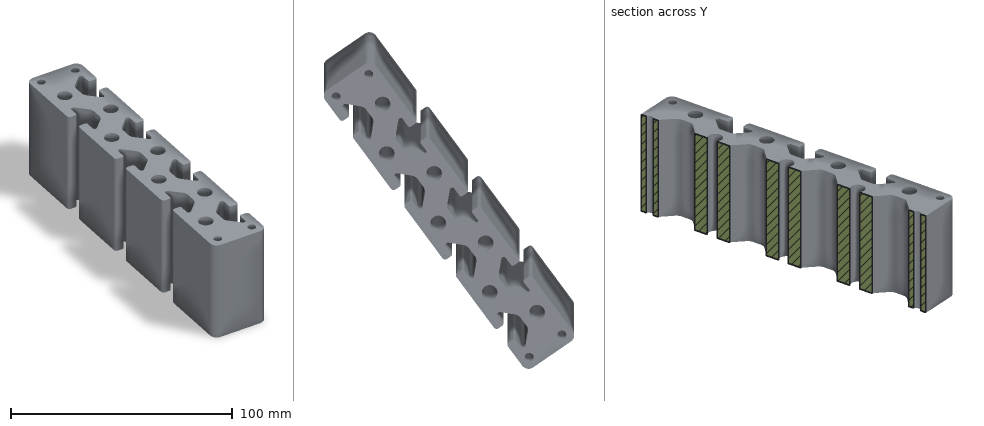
import cadquery as cq

length = 160.0
depth = 28.0
height = 50.0
corner_radius = 3.5

back_slots = 4
front_slots = back_slots - 1
slot_pitch = length / back_slots
slot_depth = 12.5
mouth_width = 8.0
mouth_radius = 1.5
lip_thickness = 4.6
lip_radius = 1.0
cavity_width = 20.2
cavity_wall = 1.6
cavity_radius = 1.0
floor_radius = 4.0

core_hole_diameter = 7.0
core_hole_inset = 8.0
corner_hole_diameter = 4.0
corner_hole_inset = 5.0

face_y = depth / 2
end_x = length / 2
half_mouth = mouth_width / 2


def row(count):
    """X positions of a row of features centred on the bar."""
    return [(i - (count - 1) / 2) * slot_pitch for i in range(count)]


def mirrored_pair(x, y):
    """The point (x, y) and its mirror image across the YZ plane."""
    return [(-x, y), (x, y)]


def round_corners(body, corners, radius):
    """Fillet the vertical edge standing at each (x, y) corner."""
    for x, y in corners:
        nearest = cq.selectors.NearestToPointSelector((x, y, height / 2))
        body = body.edges("|Z").edges(nearest).fillet(radius)
    return body


def make_slot():
    """Solid filling one T-slot of the +Y face, centred on X = 0."""
    lip_y = face_y - lip_thickness
    shoulder_y = lip_y - cavity_wall
    floor_y = face_y - slot_depth
    half_cavity = cavity_width / 2
    half_floor = half_cavity - (shoulder_y - floor_y)

    right_side = [
        (half_floor, floor_y),
        (half_cavity, shoulder_y),
        (half_cavity, lip_y),
        (half_mouth, lip_y),
        (half_mouth, face_y),
    ]
    left_side = [(-x, y) for x, y in reversed(right_side)]
    slot = cq.Workplane("XY").polyline(right_side + left_side).close().extrude(height)

    slot = round_corners(slot, mirrored_pair(half_mouth, lip_y), lip_radius)
    slot = round_corners(slot, mirrored_pair(half_cavity, lip_y), cavity_radius)
    slot = round_corners(slot, mirrored_pair(half_cavity, shoulder_y), cavity_radius)
    return round_corners(slot, mirrored_pair(half_floor, floor_y), floor_radius)


def make_holes(centres, diameter):
    """Cylinders for holes through the full height."""
    return cq.Workplane("XY").pushPoints(centres).circle(diameter / 2).extrude(height)


bar = cq.Workplane("XY").rect(length, depth).extrude(height)
bar = bar.edges("|Z").fillet(corner_radius)

back_slot = make_slot()
front_slot = back_slot.mirror("XZ")
for slot, count, mouth_y in [(back_slot, back_slots, face_y), (front_slot, front_slots, -face_y)]:
    for slot_x in row(count):
        bar = bar.cut(slot.translate((slot_x, 0, 0)))
        mouth_corners = [(slot_x - half_mouth, mouth_y), (slot_x + half_mouth, mouth_y)]
        bar = round_corners(bar, mouth_corners, mouth_radius)

core_y = face_y - core_hole_inset
core_centres = [(x, -core_y) for x in row(back_slots)] + [(x, core_y) for x in row(front_slots)]
bar = bar.cut(make_holes(core_centres, core_hole_diameter))

corner_x = end_x - corner_hole_inset
corner_y = face_y - corner_hole_inset
corner_centres = mirrored_pair(corner_x, corner_y) + mirrored_pair(corner_x, -corner_y)
result = bar.cut(make_holes(corner_centres, corner_hole_diameter))